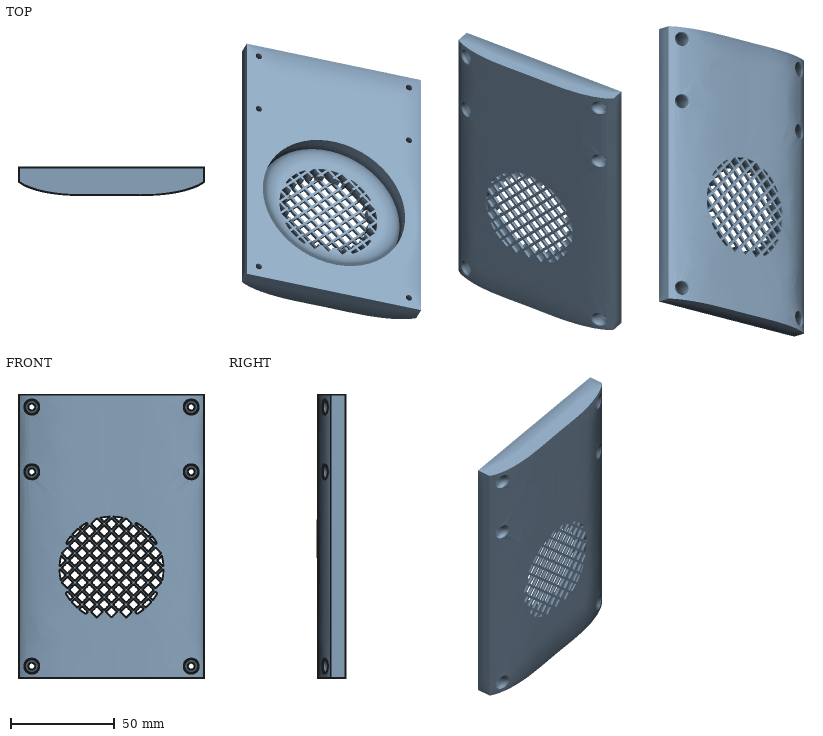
import cadquery as cq
import math

WIDTH = 89.2
HEIGHT = 136.6
SIDE_DEPTH = 7.0
END_CROWN_DEPTH = 13.2
GRILLE_CROWN_DEPTH = 13.45
CUT_MARGIN = 5.0
BEYOND_FRONT = GRILLE_CROWN_DEPTH + CUT_MARGIN

SHOULDER_X = 31.2
SHOULDER_DEPTH = 12.0
OUTER_SHOULDER_X = 38.5
OUTER_SHOULDER_DEPTH = 10.1
SIDE_SLOPE = 0.8

SCREW_X = 38.4
SCREW_HEIGHTS = (62.3, 31.1, -62.5)
SCREW_DIAMETER = 3.2
HEAD_DIAMETER = 6.6
HEAD_FLOOR_DEPTH = 3.0
HEAD_LIP_CHAMFER = 0.4

SPEAKER_Z = -15.5
GRILLE_DIAMETER = 50.0
BORE_DIAMETER = 41.4
SPEAKER_DIAMETER = 72.8
SPEAKER_RECESS_DEPTH = 8.0

LATTICE_Z = -15.15
CELL_PITCH = 5.0
BAR_WIDTH = 1.2
BAR_BACK_DEPTH = 11.8
LATTICE_RADIUS = 26.0
CLOSED_CELLS = ((-3, -4), (-4, -3))


def plate_section(z, crown_depth):
    """Closed outline at height z: flat back, straight sides, two front curves meeting at the crown."""
    half_width = WIDTH / 2
    crown = cq.Vector(0, -crown_depth, z)

    def half_front(side):
        points = [
            crown,
            cq.Vector(side * SHOULDER_X, -SHOULDER_DEPTH, z),
            cq.Vector(side * OUTER_SHOULDER_X, -OUTER_SHOULDER_DEPTH, z),
            cq.Vector(side * half_width, -SIDE_DEPTH, z),
        ]
        side_tangent = cq.Vector(side, SIDE_SLOPE, 0)
        return cq.Edge.makeSpline(points, tangents=[cq.Vector(side, 0, 0), side_tangent])

    back_left = cq.Vector(-half_width, 0, z)
    back_right = cq.Vector(half_width, 0, z)
    side_left = cq.Vector(-half_width, -SIDE_DEPTH, z)
    side_right = cq.Vector(half_width, -SIDE_DEPTH, z)
    return cq.Wire.assembleEdges([
        half_front(1),
        cq.Edge.makeLine(side_right, back_right),
        cq.Edge.makeLine(back_right, back_left),
        cq.Edge.makeLine(back_left, side_left),
        half_front(-1),
    ])


def make_plate():
    sections = [
        plate_section(-HEIGHT / 2, END_CROWN_DEPTH),
        plate_section(LATTICE_Z, GRILLE_CROWN_DEPTH),
        plate_section(HEIGHT / 2, END_CROWN_DEPTH),
    ]
    return cq.Workplane(obj=cq.Solid.makeLoft(sections))


def rod(x, z, diameter, near_depth, far_depth):
    """Cylinder along Y between two depths measured forward from the back."""
    return (
        cq.Workplane("XZ", origin=(x, -near_depth, z))
        .circle(diameter / 2)
        .extrude(far_depth - near_depth)
    )


def add_screw_holes(body):
    for side in (-1, 1):
        for z in SCREW_HEIGHTS:
            x = side * SCREW_X
            body = body.cut(rod(x, z, HEAD_DIAMETER, HEAD_FLOOR_DEPTH, BEYOND_FRONT))
            lip_zone = cq.selectors.BoxSelector(
                (x - HEAD_DIAMETER, -BEYOND_FRONT, z - HEAD_DIAMETER),
                (x + HEAD_DIAMETER, -SIDE_DEPTH, z + HEAD_DIAMETER),
            )
            body = body.edges(lip_zone).edges("not %LINE").chamfer(HEAD_LIP_CHAMFER)
            body = body.cut(rod(x, z, SCREW_DIAMETER, 0, BEYOND_FRONT))
    return body


def cut_speaker_opening(body):
    """Recess and bore from the back, stopping behind the lattice."""
    body = body.cut(rod(0, SPEAKER_Z, SPEAKER_DIAMETER, 0, SPEAKER_RECESS_DEPTH))
    return body.cut(rod(0, SPEAKER_Z, BORE_DIAMETER, 0, BAR_BACK_DEPTH))


def lattice_centres():
    """Cell centres along the two diagonals; slivers at the rim and the lowest pair stay closed."""
    reach = math.ceil(LATTICE_RADIUS / CELL_PITCH)
    return [
        (column * CELL_PITCH, row * CELL_PITCH)
        for column in range(-reach, reach + 1)
        for row in range(-reach, reach + 1)
        if CELL_PITCH * math.hypot(column, row) < LATTICE_RADIUS
        and (column, row) not in CLOSED_CELLS
    ]


def cut_lattice(body):
    """Diamond cells trimmed by the round grille outline."""
    cell_size = CELL_PITCH - BAR_WIDTH
    cells = (
        cq.Workplane("XZ", origin=(0, 0, LATTICE_Z))
        .transformed(rotate=(0, 0, 45))
        .pushPoints(lattice_centres())
        .rect(cell_size, cell_size)
        .extrude(BEYOND_FRONT)
    )
    return body.cut(cells.intersect(rod(0, SPEAKER_Z, GRILLE_DIAMETER, 0, BEYOND_FRONT)))


plate = add_screw_holes(make_plate())
result = cut_lattice(cut_speaker_opening(plate))